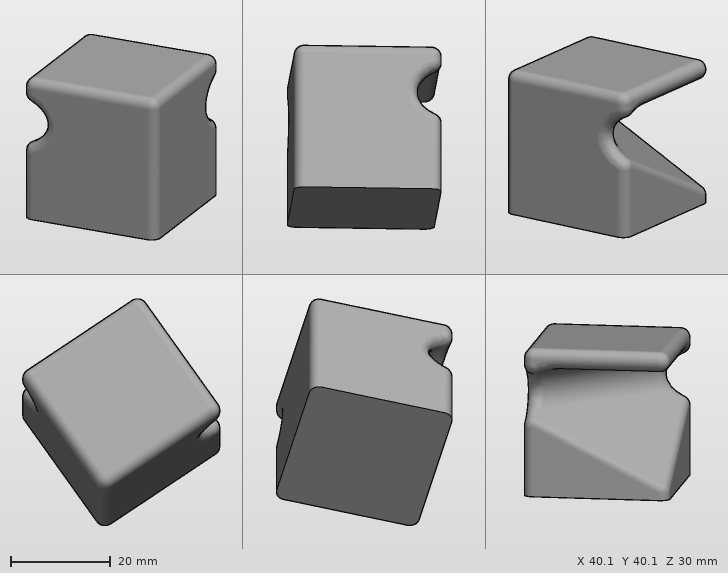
import cadquery as cq
import math

side = 29.5
height = 30.0
turn_angle = 45.0
half_diagonal = side / math.sqrt(2)

plate_thickness = 4.0
throat_radius = 5.5
throat_x = -4.1
ramp_angle = math.radians(35)
mouth_overrun = 1.0

plate_bottom_z = height - plate_thickness
throat_z = plate_bottom_z - throat_radius
mouth_x = -half_diagonal - mouth_overrun

rim_flat = 0.002
edge_radius = (plate_thickness - rim_flat) / 2


def block():
    prism = cq.Workplane("XY").rect(side, side).extrude(height)
    return prism.rotate((0, 0, 0), (0, 0, 1), turn_angle)


def undercut():
    ramp_top_x = throat_x + throat_radius * math.sin(ramp_angle)
    ramp_top_z = throat_z - throat_radius * math.cos(ramp_angle)
    ramp_mouth_z = ramp_top_z - (ramp_top_x - mouth_x) * math.tan(ramp_angle)
    return (
        cq.Workplane("XZ")
        .moveTo(mouth_x, plate_bottom_z)
        .lineTo(throat_x, plate_bottom_z)
        .threePointArc((throat_x + throat_radius, throat_z), (ramp_top_x, ramp_top_z))
        .lineTo(mouth_x, ramp_mouth_z)
        .close()
        .extrude(half_diagonal, both=True)
    )


def round_edges(body):
    return body.edges("not(<Z or |Y)").fillet(edge_radius)


result = round_edges(block().cut(undercut())).solids()